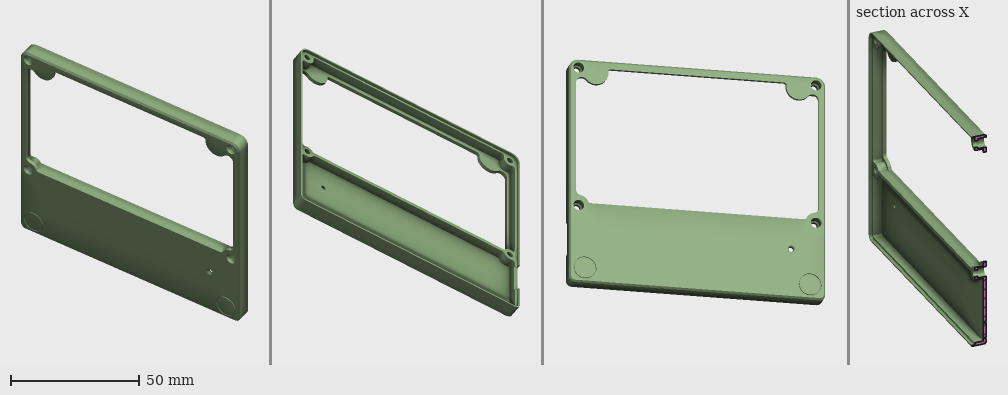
import cadquery as cq
import math

WIDTH = 102.4
DEPTH = 6.3
HEIGHT = 92.4
TOP_CORNER_RADIUS = 3.8
BOTTOM_CORNER_RADIUS = 2.4
FRONT_CHAMFER = 0.7

PLATE_THICKNESS = 1.4
WALL_THICKNESS = 1.5
COVER_SEAT_DEPTH = 1.2
COVER_LIP_THICKNESS = 0.6
CAVITY_DEPTH = DEPTH - COVER_SEAT_DEPTH

SCREW_X = 47.4
LOWER_SCREW_Z = 31.8
UPPER_SCREW_Z = 88.9
SCREWS = [(x, z) for x in (-SCREW_X, SCREW_X) for z in (LOWER_SCREW_Z, UPPER_SCREW_Z)]
SCREW_HOLE_DIAMETER = 2.7
SCREW_HEAD_DIAMETER = 4.2
SCREW_HEAD_DEPTH = 3.6
BOSS_RADIUS = 2.9
BOSS_FILLET = 1.0

TOLERANCE = 0.001

WINDOW_HALF_WIDTH = 48.4
WINDOW_BOTTOM = 33.0
WINDOW_TOP = 89.1
SCREW_PAD_RADIUS = 4.2
PAD_FOOT_FILLET = 1.2
LOWER_CORNER_FILLET = 2.0
LOBE_X = 40.5
LOBE_Z = 87.6
LOBE_RADIUS = 5.0
LOBE_ROOT_FILLET = 1.0
UPPER_CORNER_FILLET = 2.4
RIB_THICKNESS = 1.5

PIN_X = 37.5
PIN_Z = 20.2
PIN_DIAMETER = 1.9
PIN_COUNTERSINK_DIAMETER = 2.9

FOOT_X = 45.0
FOOT_Z = 6.0
FOOT_GROOVE_DIAMETER = 9.1
FOOT_PAD_DIAMETER = 8.4
FOOT_GROOVE_DEPTH = 0.5

NOTCH_BOTTOM = 12.3
NOTCH_TOP = 26.2
NOTCH_DEPTH = 1.8
NOTCH_CORNER_RADIUS = 0.7


def xz_plane(y):
    """Sketch plane at depth y with local axes along X and Z, extruding toward +Y when negative."""
    return cq.Workplane("XZ", origin=(0, y, 0))


def slab(x_half, z_low, z_high, y_front, y_back):
    """Rectangular block centred on X = 0."""
    size = (2 * x_half, y_back - y_front, z_high - z_low)
    return cq.Workplane("XY").box(*size, centered=(True, False, False)).translate((0, y_front, z_low))


def disc(x, z, radius, y_front, y_back):
    """Cylinder along Y."""
    return xz_plane(y_front).center(x, z).circle(radius).extrude(y_front - y_back)


def on_circle(center, target, radius):
    """Point at the given radius from center, in the direction of target."""
    angle = math.atan2(target[1] - center[1], target[0] - center[0])
    return (center[0] + radius * math.cos(angle), center[1] + radius * math.sin(angle))


def fillet_center_beside(circle, radius, fillet, line_x, side):
    """Centre of a fillet touching the line X = line_x from inside and a circle; side is +1 above."""
    x = line_x - fillet
    return (x, circle[1] + side * math.sqrt((radius + fillet) ** 2 - (x - circle[0]) ** 2))


def fillet_center_level(circle, radius, fillet, z):
    """Centre of a fillet at height z touching a circle on its -X side."""
    return (circle[0] - math.sqrt((radius + fillet) ** 2 - (z - circle[1]) ** 2), z)


def make_body():
    body = slab(WIDTH / 2, 0, HEIGHT, 0, DEPTH)
    body = body.edges("|Y and >Z").fillet(TOP_CORNER_RADIUS)
    body = body.edges("|Y and <Z").fillet(BOTTOM_CORNER_RADIUS)
    return body.faces("<Y").chamfer(FRONT_CHAMFER)


def make_window():
    """Opening outline: each +X corner is a chain of tangent arcs; the -X half is its mirror."""
    pad = (SCREW_X, LOWER_SCREW_Z)
    lobe = (LOBE_X, LOBE_Z)
    foot = fillet_center_level(pad, SCREW_PAD_RADIUS, PAD_FOOT_FILLET, WINDOW_BOTTOM + PAD_FOOT_FILLET)
    lower = fillet_center_beside(pad, SCREW_PAD_RADIUS, LOWER_CORNER_FILLET, WINDOW_HALF_WIDTH, 1)
    upper = fillet_center_beside(lobe, LOBE_RADIUS, UPPER_CORNER_FILLET, WINDOW_HALF_WIDTH, -1)
    root = fillet_center_level(lobe, LOBE_RADIUS, LOBE_ROOT_FILLET, WINDOW_TOP - LOBE_ROOT_FILLET)

    outline = xz_plane(0).moveTo(0, WINDOW_BOTTOM).lineTo(foot[0], WINDOW_BOTTOM)
    outline = outline.radiusArc(on_circle(pad, foot, SCREW_PAD_RADIUS), -PAD_FOOT_FILLET)
    outline = outline.radiusArc(on_circle(pad, lower, SCREW_PAD_RADIUS), SCREW_PAD_RADIUS)
    outline = outline.radiusArc((WINDOW_HALF_WIDTH, lower[1]), -LOWER_CORNER_FILLET)
    outline = outline.lineTo(WINDOW_HALF_WIDTH, upper[1])
    outline = outline.radiusArc(on_circle(lobe, upper, LOBE_RADIUS), -UPPER_CORNER_FILLET)
    outline = outline.radiusArc(on_circle(lobe, root, LOBE_RADIUS), LOBE_RADIUS)
    outline = outline.radiusArc((root[0], WINDOW_TOP), -LOBE_ROOT_FILLET)
    half = outline.lineTo(0, WINDOW_TOP).close().extrude(-DEPTH)
    return half.union(half.mirror("YZ"))


def touches_boss(edge):
    """True for an edge along Y that lies on the surface of a screw boss."""
    center = edge.Center()
    distances = [math.hypot(center.x - x, center.z - z) for x, z in SCREWS]
    return abs(min(distances) - BOSS_RADIUS) < TOLERANCE


def make_cavity():
    """Hollow behind the front plate, leaving the screw bosses and the rib below the window."""
    inner_half = WIDTH / 2 - WALL_THICKNESS
    cavity = slab(inner_half, WALL_THICKNESS, HEIGHT - WALL_THICKNESS, PLATE_THICKNESS, CAVITY_DEPTH)
    cavity = cavity.edges("|Y and >Z").fillet(TOP_CORNER_RADIUS - WALL_THICKNESS)
    cavity = cavity.edges("|Y and <Z").fillet(BOTTOM_CORNER_RADIUS - WALL_THICKNESS)
    rib = slab(inner_half, WINDOW_BOTTOM - RIB_THICKNESS, WINDOW_BOTTOM, PLATE_THICKNESS, CAVITY_DEPTH)
    cavity = cavity.cut(rib)
    for x, z in SCREWS:
        cavity = cavity.cut(disc(x, z, BOSS_RADIUS, PLATE_THICKNESS, CAVITY_DEPTH))
    return cavity.edges("|Y").filter(touches_boss).fillet(BOSS_FILLET)


def make_cover_seat():
    seat = slab(
        WIDTH / 2 - COVER_LIP_THICKNESS, COVER_LIP_THICKNESS, HEIGHT - COVER_LIP_THICKNESS, CAVITY_DEPTH, DEPTH
    )
    seat = seat.edges("|Y and >Z").fillet(TOP_CORNER_RADIUS - COVER_LIP_THICKNESS)
    return seat.edges("|Y and <Z").fillet(BOTTOM_CORNER_RADIUS - COVER_LIP_THICKNESS)


def make_screw_hole(x, z):
    head = disc(x, z, SCREW_HEAD_DIAMETER / 2, 0, SCREW_HEAD_DEPTH)
    return head.union(disc(x, z, SCREW_HOLE_DIAMETER / 2, 0, DEPTH))


def make_pin_hole():
    """Through hole with a 45 degree countersink on the front face."""
    hole_radius = PIN_DIAMETER / 2
    front_radius = PIN_COUNTERSINK_DIAMETER / 2
    front_center = cq.Vector(PIN_X, 0, PIN_Z)
    cone = cq.Solid.makeCone(
        front_radius, hole_radius, front_radius - hole_radius, front_center, cq.Vector(0, 1, 0)
    )
    return disc(PIN_X, PIN_Z, hole_radius, 0, PLATE_THICKNESS).union(cq.Workplane(obj=cone))


def make_foot_groove(x):
    groove = disc(x, FOOT_Z, FOOT_GROOVE_DIAMETER / 2, 0, FOOT_GROOVE_DEPTH)
    return groove.cut(disc(x, FOOT_Z, FOOT_PAD_DIAMETER / 2, 0, FOOT_GROOVE_DEPTH))


def make_notch():
    notch = cq.Workplane("XY").box(
        WALL_THICKNESS, NOTCH_DEPTH, NOTCH_TOP - NOTCH_BOTTOM, centered=False
    )
    notch = notch.edges("|X and <Y").fillet(NOTCH_CORNER_RADIUS)
    return notch.translate((-WIDTH / 2, DEPTH - NOTCH_DEPTH, NOTCH_BOTTOM))


result = make_body().cut(make_cavity()).cut(make_cover_seat()).cut(make_window())
for screw_x, screw_z in SCREWS:
    result = result.cut(make_screw_hole(screw_x, screw_z))
for foot_x in (-FOOT_X, FOOT_X):
    result = result.cut(make_foot_groove(foot_x))
result = result.cut(make_pin_hole()).cut(make_notch())